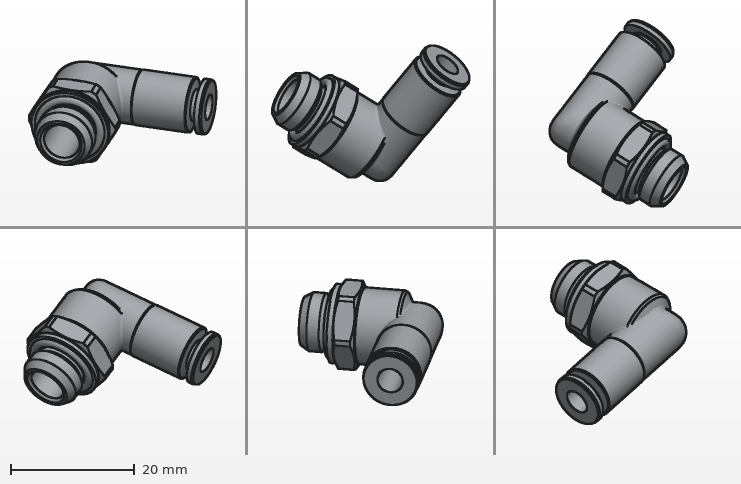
import cadquery as cq
import math


spigot_radius = 9.6 / 2
spigot_tip_radius = 7.95 / 2
spigot_neck_radius = 8.3 / 2
tip_chamfer_end = 1.42
thread_end = 3.45
neck_start = 4.08
bore_radius = 6.0 / 2
bore_mouth_radius = 6.98 / 2
bore_mouth_depth = 0.5

seal_start = 4.32
seal_radius = 11.7 / 2
seal_round = 0.72
flange_start = seal_start + seal_round
flange_radius = 12.9 / 2

hex_start = 6.0
hex_end = 9.53
hex_flats = 13.0
hex_corner_radius = 14.5 / 2
hex_chamfer_radius = 12.62 / 2
hex_chamfer_height = 0.48

groove_radius = 12.35 / 2
body_start = 9.7
body_radius = 12.5 / 2
body_side_end = 16.25
body_edge_radius = 11.98 / 2
body_edge_end = 16.7
cone_end = 17.53
joint_fillet = 0.4

arm_height = 18.02
elbow_radius = 9.0 / 2
corner_tangent_offset = 1.88
corner_slope = corner_tangent_offset / elbow_radius
sector_reach = 2 * elbow_radius
sector_slant = corner_slope * sector_reach
corner_direction = 135

sleeve_radius = 9.1 / 2
sleeve_start = 7.95
sleeve_edge = 0.15
sleeve_end = 16.83
sleeve_rim_radius = 8.65 / 2
sleeve_rim_end = 16.97
sleeve_face_end = 17.2
collar_neck_radius = 5.2 / 2
collar_flare_length = 0.21
collar_flare_height = 0.08
collar_start = 18.42
overall_length = 26.85
collar_end = overall_length - hex_corner_radius
collar_chamfer = 0.32
collar_chamfer_depth = 0.13
cross_bore_radius = 3.0 / 2
tube_socket_radius = 4.15 / 2


def turned_body():
    """Spigot, seal, flange and round body as one profile about the Y axis."""
    profile = (
        cq.Workplane("XY")
        .lineTo(spigot_tip_radius, 0)
        .lineTo(spigot_radius, tip_chamfer_end)
        .lineTo(spigot_radius, thread_end)
        .lineTo(spigot_neck_radius, neck_start)
        .lineTo(spigot_neck_radius, flange_start)
        .lineTo(seal_radius - 2 * seal_round, flange_start)
        .threePointArc((seal_radius - seal_round, seal_start), (seal_radius, flange_start))
        .lineTo(flange_radius, flange_start)
        .lineTo(flange_radius, hex_start)
        .lineTo(groove_radius, hex_start)
        .lineTo(groove_radius, body_start)
        .lineTo(body_radius, body_start)
        .lineTo(body_radius, body_side_end)
        .lineTo(body_edge_radius, body_edge_end)
        .lineTo(elbow_radius, cone_end)
        .lineTo(0, cone_end)
        .close()
    )
    return profile.revolve(360, (0, 0), (0, 1))


def hexagon():
    """Hexagon with its corners turned down and both ends chamfered."""
    height = hex_end - hex_start
    prism = (
        cq.Workplane("XZ", origin=(0, hex_end, 0))
        .polygon(6, hex_flats / math.cos(math.pi / 6))
        .extrude(height)
    )
    envelope = (
        cq.Workplane("XY")
        .moveTo(0, hex_start)
        .lineTo(hex_chamfer_radius, hex_start)
        .lineTo(hex_corner_radius, hex_start + hex_chamfer_height)
        .lineTo(hex_corner_radius, hex_end - hex_chamfer_height)
        .lineTo(hex_chamfer_radius, hex_end)
        .lineTo(0, hex_end)
        .close()
        .revolve(360, (0, 0), (0, 1))
    )
    return prism.intersect(envelope)


def elbow_sector(points):
    """Prism through the elbow that keeps one sector around the axis crossing."""
    return (
        cq.Workplane("XY", origin=(0, arm_height, -sector_reach))
        .polyline(points)
        .close()
        .extrude(2 * sector_reach)
    )


def elbow_legs():
    """Two crossing cylinders, each ending where the rounded corner begins."""
    leg_length = sleeve_start
    arm_leg = (
        cq.Workplane("YZ", origin=(-elbow_radius, arm_height, 0))
        .circle(elbow_radius)
        .extrude(elbow_radius + leg_length)
    )
    arm_leg = arm_leg.intersect(
        elbow_sector([
            (-sector_slant, sector_reach),
            (leg_length, sector_reach),
            (leg_length, -sector_reach),
            (sector_slant, -sector_reach),
        ])
    )
    body_leg = (
        cq.Workplane("XZ", origin=(0, arm_height + elbow_radius, 0))
        .circle(elbow_radius)
        .extrude(elbow_radius + leg_length)
    )
    body_leg = body_leg.intersect(
        elbow_sector([
            (-sector_reach, sector_slant),
            (-sector_reach, -leg_length),
            (sector_reach, -leg_length),
            (sector_reach, -sector_slant),
        ])
    )
    return arm_leg.union(body_leg)


def elbow_corner():
    """Sector of an ellipsoid that is tangent to both elbow legs."""
    long_scale = math.sqrt(1 + corner_slope)
    short_scale = math.sqrt(1 - corner_slope)
    stretch = cq.Matrix([[long_scale, 0, 0, 0], [0, short_scale, 0, 0], [0, 0, 1, 0]])
    ball = (
        cq.Workplane("XY")
        .sphere(elbow_radius)
        .rotate((0, 0, 0), (0, 0, 1), 180)
        .rotate((0, 0, 0), (1, 0, 0), 90)
    )
    ellipsoid = (
        cq.Workplane(ball.val().transformGeometry(stretch))
        .rotate((0, 0, 0), (0, 0, 1), corner_direction)
        .translate((0, arm_height, 0))
    )
    sector = elbow_sector([
        (0, 0),
        (-sector_slant, sector_reach),
        (-sector_reach, sector_reach),
        (-sector_reach, sector_slant),
    ])
    return ellipsoid.intersect(sector)


def arm_end():
    """Sleeve with a conical end face, collar neck and release collar."""
    profile = (
        cq.Workplane("XY", origin=(0, arm_height, 0))
        .moveTo(sleeve_start - sleeve_edge, 0)
        .lineTo(sleeve_start - sleeve_edge, elbow_radius)
        .lineTo(sleeve_start, sleeve_radius)
        .lineTo(sleeve_end, sleeve_radius)
        .lineTo(sleeve_rim_end, sleeve_rim_radius)
        .lineTo(sleeve_face_end, collar_neck_radius)
        .lineTo(collar_start - collar_flare_length, collar_neck_radius)
        .lineTo(collar_start, collar_neck_radius + collar_flare_height)
        .lineTo(collar_start, elbow_radius)
        .lineTo(collar_end - collar_chamfer, elbow_radius)
        .lineTo(collar_end, elbow_radius - collar_chamfer_depth)
        .lineTo(collar_end, 0)
        .close()
    )
    return profile.revolve(360, (0, 0), (1, 0))


def passages():
    """Spigot bore up to the arm axis, cross bore and tube socket."""
    spigot_bore = (
        cq.Workplane("XY")
        .lineTo(bore_mouth_radius, 0)
        .lineTo(bore_radius, bore_mouth_depth)
        .lineTo(bore_radius, arm_height)
        .lineTo(0, arm_height)
        .close()
        .revolve(360, (0, 0), (0, 1))
    )
    cross_bore = (
        cq.Workplane("YZ", origin=(-bore_radius, arm_height, 0))
        .circle(cross_bore_radius)
        .extrude(bore_radius + collar_end)
    )
    tube_socket = (
        cq.Workplane("YZ", origin=(sleeve_start, arm_height, 0))
        .circle(tube_socket_radius)
        .extrude(collar_end - sleeve_start)
    )
    return spigot_bore.union(cross_bore).union(tube_socket)


def housing():
    """Elbow joined to the round body, with a fillet all around the joint."""
    joined = elbow_legs().union(elbow_corner()).union(turned_body())
    box = cq.selectors.BoxSelector
    margin = 0.03
    beside_arm = box(
        (0, arm_height - elbow_radius, -body_radius),
        (body_radius, cone_end + margin, body_radius),
    )
    joint_curves = beside_arm & cq.selectors.TypeSelector("BSPLINE")
    joint_circle = box(
        (-elbow_radius, cone_end - margin, -margin),
        (0, cone_end + margin, margin),
    )
    return joined.edges(joint_curves + joint_circle).fillet(joint_fillet)


result = housing().union(hexagon()).union(arm_end()).cut(passages())